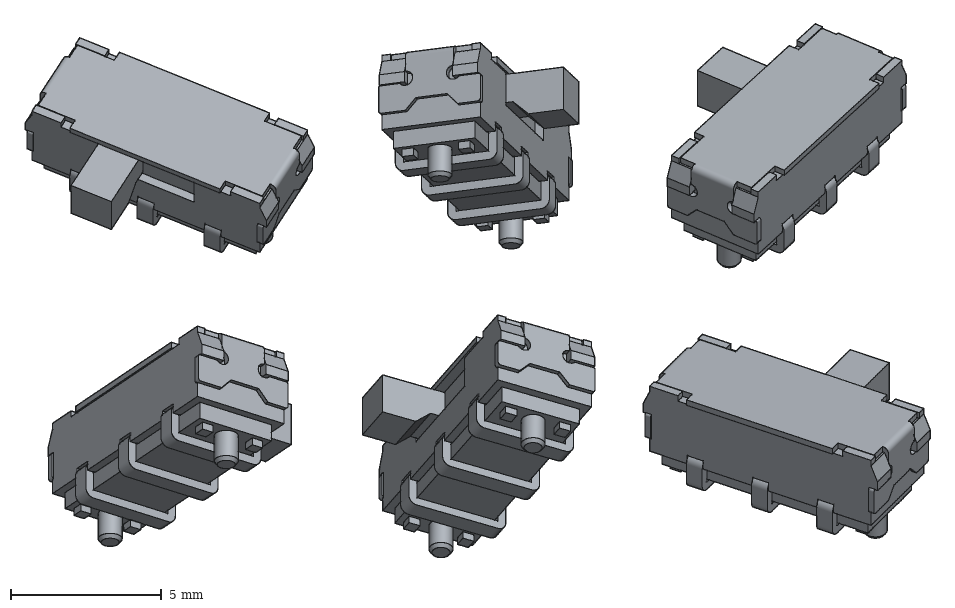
import cadquery as cq


top_z = 3.6
body_length = 8.5
body_width = 3.48
body_bottom_z = 0.97
wall_inner_y = 1.44

base_length = 7.9
base_width = 2.88
base_bottom_z = 0.37

sheet = 0.22
cover_length = 8.8
cover_width = 3.6
cover_centre_width = 2.84
cover_ear_length = 5.6
cover_end_z = 1.49
cover_shoulder_z = 2.49
cover_corner_radius = 0.1
cover_tongue_width = 1.7
relief_radius = 0.25
relief_z = 2.62
end_notch_height = 0.4
end_notch_bottom_width = 1.84
end_notch_top_width = 1.1
end_notch_centre_y = -0.07

corner_start_x = 3.16
wing_tip_x = 4.5
wing_edge_z = 2.82
wing_bottom_z = 2.46

window_length = 3.6
window_bottom_z = 2.24
knob_x = -1.0
knob_size = 1.5
knob_top_z = 3.35
knob_tip_y = -3.75
knob_stem_height = 1.0
knob_slope_start_y = -1.97
knob_slope_end_y = -2.52

lead_pitch = 2.5
lead_width = 0.61
lead_thickness = 0.3
lead_top_z = 1.3

peg_x = 3.4
peg_diameter = 0.8
peg_bottom_z = -0.7
peg_chamfer_height = 0.13
peg_chamfer_inset = 0.1
foot_x = 3.57
foot_y = 1.0
foot_size = 0.41
foot_bottom_z = 0.11

shelf_z = top_z - sheet
half_body_length = body_length / 2
half_body_width = body_width / 2
half_cover_length = cover_length / 2
half_cover_width = cover_width / 2
cover_inner_x = half_cover_length - sheet


def block(x_range, y_range, z_range):
    """Box spanning the given (low, high) range on each axis."""
    spans = (x_range, y_range, z_range)
    sizes = [high - low for low, high in spans]
    corner = tuple(low for low, high in spans)
    return cq.Workplane("XY").box(*sizes, centered=False).translate(corner)


def centred_block(length, width, z_range):
    """Box centred on the Z axis."""
    return block((-length / 2, length / 2), (-width / 2, width / 2), z_range)


def both_ends(shape):
    """The shape together with its mirror image across the YZ plane."""
    return shape.union(shape.mirror("YZ"))


def both_sides(shape):
    """The shape together with its mirror image across the XZ plane."""
    return shape.union(shape.mirror("XZ"))


def moulding():
    """Body on its narrower base, with raised walls at the four corners."""
    body = centred_block(body_length, body_width, (body_bottom_z, shelf_z))
    base = centred_block(base_length, base_width, (base_bottom_z, body_bottom_z))
    corner = block(
        (corner_start_x, half_body_length),
        (wall_inner_y, half_body_width),
        (shelf_z, top_z),
    )
    return body.union(base).union(both_ends(both_sides(corner)))


def window():
    """Pocket in the front wall in which the knob slides."""
    return block(
        (-window_length / 2, window_length / 2),
        (-half_body_width, -wall_inner_y),
        (window_bottom_z, shelf_z),
    )


def cover_top():
    """Flat top sheet with two wide ears over the long sides."""
    centre = centred_block(2 * cover_inner_x, cover_centre_width, (shelf_z, top_z))
    ears = centred_block(cover_ear_length, cover_width, (shelf_z, top_z))
    return centre.union(ears)


def cover_end():
    """Sheet bent down over the +X end: a tongue between the wings, widening below them."""
    half_tongue = cover_tongue_width / 2
    tongue = (
        cq.Workplane("XZ", origin=(0, half_tongue, 0))
        .moveTo(cover_inner_x, cover_shoulder_z)
        .lineTo(half_cover_length, cover_shoulder_z)
        .lineTo(half_cover_length, shelf_z)
        .radiusArc((cover_inner_x, top_z), -sheet)
        .close()
        .extrude(cover_tongue_width)
    )

    skirt = centred_block(sheet, cover_width, (cover_end_z, cover_shoulder_z))
    skirt = skirt.translate((half_cover_length - sheet / 2, 0, 0))
    skirt = skirt.edges("|X").fillet(cover_corner_radius)

    half_wide = end_notch_bottom_width / 2
    half_narrow = end_notch_top_width / 2
    notch = (
        cq.Workplane("YZ", origin=(half_body_length, 0, 0))
        .moveTo(end_notch_centre_y - half_wide, cover_end_z)
        .lineTo(end_notch_centre_y - half_narrow, cover_end_z + end_notch_height)
        .lineTo(end_notch_centre_y + half_narrow, cover_end_z + end_notch_height)
        .lineTo(end_notch_centre_y + half_wide, cover_end_z)
        .close()
        .extrude(sheet)
    )
    return tongue.union(skirt.cut(notch))


def bend_reliefs():
    """Round reliefs through the +X end sheet at the roots of the tongue."""
    return (
        cq.Workplane("YZ", origin=(cover_inner_x, 0, 0))
        .pushPoints([(side * cover_tongue_width / 2, relief_z) for side in (-1, 1)])
        .circle(relief_radius)
        .extrude(sheet)
    )


def wing():
    """Snap wedge on the +X end, beside the tongue on the +Y side."""
    width = half_body_width - cover_tongue_width / 2
    return (
        cq.Workplane("XZ", origin=(0, half_body_width, 0))
        .moveTo(cover_inner_x, wing_bottom_z)
        .lineTo(wing_tip_x, wing_bottom_z)
        .lineTo(wing_tip_x, wing_edge_z)
        .lineTo(half_body_length, shelf_z)
        .lineTo(cover_inner_x, shelf_z)
        .close()
        .extrude(width)
    )


def knob():
    """Square knob on a shallower stem that enters the window."""
    stem_bottom_z = knob_top_z - knob_stem_height
    knob_bottom_z = knob_top_z - knob_size
    return (
        cq.Workplane("YZ", origin=(knob_x - knob_size / 2, 0, 0))
        .moveTo(-wall_inner_y, knob_top_z)
        .lineTo(knob_tip_y, knob_top_z)
        .lineTo(knob_tip_y, knob_bottom_z)
        .lineTo(knob_slope_end_y, knob_bottom_z)
        .lineTo(knob_slope_start_y, stem_bottom_z)
        .lineTo(-wall_inner_y, stem_bottom_z)
        .close()
        .extrude(knob_size)
    )


def lead_slot(x):
    """Cutter through both long walls where a lead leaves the body."""
    x_range = (x - lead_width / 2, x + lead_width / 2)
    return both_sides(block(x_range, (wall_inner_y, half_body_width), (body_bottom_z, lead_top_z)))


def lead(x):
    """Strip that leaves both long walls, bends down and passes under the base."""
    x_range = (x - lead_width / 2, x + lead_width / 2)
    inner_y = half_cover_width - lead_thickness
    strip = block(x_range, (-half_cover_width, half_cover_width), (0, lead_top_z))
    strip = strip.edges("|X").fillet(lead_thickness)
    opening = block(x_range, (-inner_y, inner_y), (lead_thickness, lead_top_z - lead_thickness))
    return strip.cut(opening)


def peg():
    """Locating peg with a tapered tip, on the +X side."""
    return (
        cq.Workplane("XY", origin=(peg_x, 0, peg_bottom_z))
        .circle(peg_diameter / 2)
        .extrude(base_bottom_z - peg_bottom_z)
        .faces("<Z")
        .chamfer(peg_chamfer_height, peg_chamfer_inset)
    )


def foot():
    """Small square foot under one corner of the base."""
    pad = centred_block(foot_size, foot_size, (foot_bottom_z, base_bottom_z))
    return pad.translate((foot_x, foot_y, 0))


result = moulding().cut(window())
result = result.union(cover_top()).union(both_ends(cover_end()))
result = result.cut(both_ends(bend_reliefs()))
result = result.union(both_ends(both_sides(wing())))
result = result.union(knob())

for lead_x in (-lead_pitch, 0, lead_pitch):
    result = result.cut(lead_slot(lead_x)).union(lead(lead_x))

result = result.union(both_ends(peg()))
result = result.union(both_ends(both_sides(foot())))